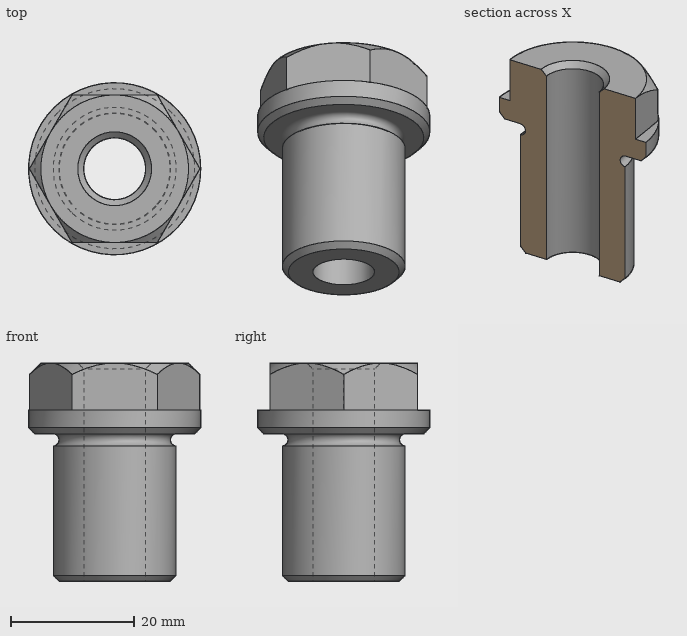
import cadquery as cq
import math

total_height = 35.5
flange_bottom = 24.0
flange_top = 27.83

flange_diameter = 28.0
shank_diameter = 20.0
bore_diameter = 10.0
hex_width = 24.0
neck_diameter = 18.18
groove_radius = 1.0

edge_chamfer = 1.0
hex_bevel_angle = 45.0

flange_radius = flange_diameter / 2
shank_radius = shank_diameter / 2
bore_radius = bore_diameter / 2
neck_radius = neck_diameter / 2
groove_centre_radius = neck_radius + groove_radius
groove_middle = flange_bottom - groove_radius
hex_corner_radius = hex_width / math.sqrt(3)


def make_body():
    """Revolved shank, half-round undercut and flange."""
    centre_offset = groove_centre_radius - shank_radius
    shank_top = groove_middle - math.sqrt(groove_radius**2 - centre_offset**2)
    diagonal = groove_radius * math.sqrt(0.5)
    arc_radius = groove_centre_radius - diagonal
    return (
        cq.Workplane("XZ")
        .lineTo(shank_radius - edge_chamfer, 0)
        .lineTo(shank_radius, edge_chamfer)
        .lineTo(shank_radius, shank_top)
        .threePointArc((arc_radius, groove_middle - diagonal), (neck_radius, groove_middle))
        .threePointArc((arc_radius, groove_middle + diagonal), (groove_centre_radius, flange_bottom))
        .lineTo(flange_radius - edge_chamfer, flange_bottom)
        .lineTo(flange_radius, flange_bottom + edge_chamfer)
        .lineTo(flange_radius, flange_top)
        .lineTo(0, flange_top)
        .close()
        .revolve(360, (0, 0), (0, 1))
    )


def make_hex_head():
    """Hexagon with corners on the X axis, its top bevelled by a cone."""
    head_height = total_height - flange_top
    hexagon = (
        cq.Workplane("XY")
        .workplane(offset=flange_top)
        .polygon(6, 2 * hex_corner_radius)
        .extrude(head_height)
    )
    top_radius = hex_width / 2
    bevel_drop = (hex_corner_radius - top_radius) * math.tan(math.radians(hex_bevel_angle))
    bevel_envelope = (
        cq.Workplane("XZ")
        .moveTo(0, flange_top)
        .lineTo(hex_corner_radius, flange_top)
        .lineTo(hex_corner_radius, total_height - bevel_drop)
        .lineTo(top_radius, total_height)
        .lineTo(0, total_height)
        .close()
        .revolve(360, (0, 0), (0, 1))
    )
    return hexagon.intersect(bevel_envelope)


def make_bore():
    """Through hole with a countersunk mouth at the head."""
    return (
        cq.Workplane("XZ")
        .lineTo(bore_radius, 0)
        .lineTo(bore_radius, total_height - edge_chamfer)
        .lineTo(bore_radius + edge_chamfer, total_height)
        .lineTo(0, total_height)
        .close()
        .revolve(360, (0, 0), (0, 1))
    )


result = make_body().union(make_hex_head()).cut(make_bore())